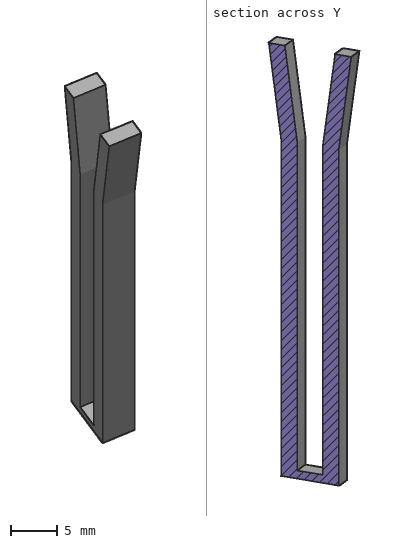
import cadquery as cq

height = 50.0
depth = 4.0
leg_thickness = 2.0
slot_width = 3.0
base_thickness = 1.0
bend_height = 39.0
flare = 1.5

slot_half = slot_width / 2
body_half = slot_half + leg_thickness

right_half = [
    (0, 0),
    (body_half, 0),
    (body_half, bend_height),
    (body_half + flare, height),
    (slot_half + flare, height),
    (slot_half, bend_height),
    (slot_half, base_thickness),
    (0, base_thickness),
]

left_half = [(-x, z) for x, z in reversed(right_half[1:-1])]

result = (
    cq.Workplane("XZ")
    .polyline(right_half + left_half)
    .close()
    .extrude(depth / 2, both=True)
)